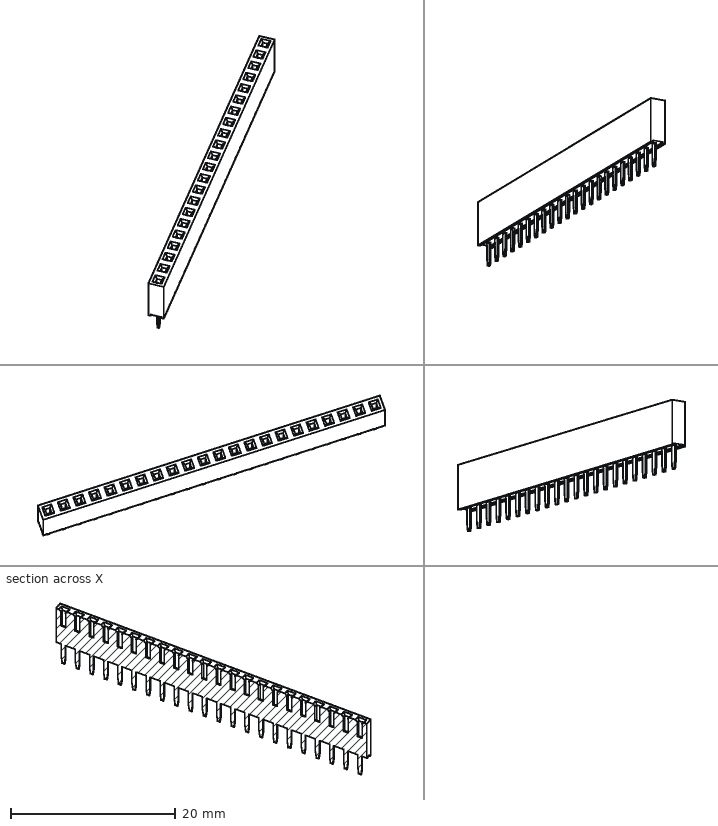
import cadquery as cq

length = 44.0
width = 2.0
height = 8.3
socket_count = 22
pitch = length / socket_count

housing_height = 5.6
foot_width = 0.3
foot_height = 0.18

pin_thickness = 0.2
pin_width = 0.6
pin_tip_width = 0.35
pin_taper_length = 0.9
pin_rise = 0.45

mouth_side = 1.2
throat_side = pin_width
funnel_depth = (mouth_side - throat_side) / 2
throat_depth = 2.65

housing_bottom = height - housing_height
socket_floor = height - funnel_depth - throat_depth
pin_top = socket_floor + pin_rise
socket_places = [(0, (i - (socket_count - 1) / 2) * pitch) for i in range(socket_count)]


def upright_box(size_x, size_y, bottom, top):
    """Box centred on the Z axis between two heights."""
    plane = cq.Workplane("XY").workplane(offset=bottom)
    return plane.box(size_x, size_y, top - bottom, centered=(True, True, False))


def make_housing():
    """Long block with a shallow channel along its underside, leaving two feet."""
    block = upright_box(width, length, housing_bottom, height)
    channel_width = width - 2 * foot_width
    channel = upright_box(channel_width, length, housing_bottom, housing_bottom + foot_height)
    return block.cut(channel)


def make_socket():
    """Square funnel leading into a square blind throat."""
    funnel = (
        cq.Workplane("XY")
        .workplane(offset=height)
        .rect(mouth_side, mouth_side)
        .workplane(offset=-funnel_depth)
        .rect(throat_side, throat_side)
        .loft(ruled=True)
    )
    throat = upright_box(throat_side, throat_side, socket_floor, height - funnel_depth)
    return funnel.union(throat)


def make_pin():
    """Flat pin tapering to a narrow tip at its lower end."""
    outline = [
        (-pin_tip_width / 2, 0),
        (pin_tip_width / 2, 0),
        (pin_width / 2, pin_taper_length),
        (pin_width / 2, pin_top),
        (-pin_width / 2, pin_top),
        (-pin_width / 2, pin_taper_length),
    ]
    return cq.Workplane("YZ").polyline(outline).close().extrude(pin_thickness / 2, both=True)


def repeat_along_row(shape):
    """Copies of a shape at every socket place."""
    solid = shape.val()
    return cq.Workplane("XY").pushPoints(socket_places).eachpoint(lambda place: solid.moved(place))


result = make_housing().cut(repeat_along_row(make_socket())).union(repeat_along_row(make_pin()))